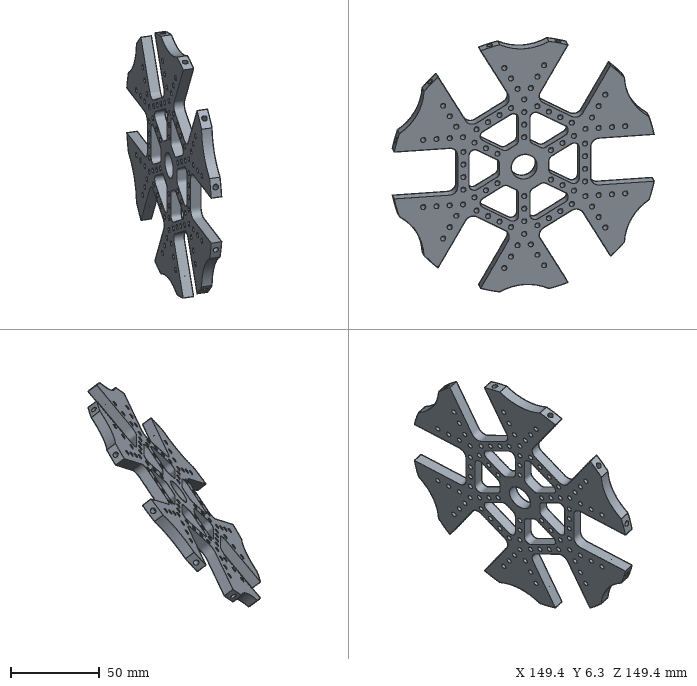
import cadquery as cq
import math

half_span = 74.7
thickness = 6.3
arms = 6
centre_bore_diameter = 14.8

slot_width = 28.2
slot_corner_radius = 4.8

hub_apothem = 14.2
strut_width = 6.6
ring_apothem = 35.0
pocket_corner_radius = 3.1

scallop_depth = 3.5

hole_diameter = 2.8
hole_pitch = 7.6
ring_corner = 40.7
spoke_hole_count = 4
arm_hole_count = 3
ring_hole_count = 4
edge_hole_diameter = 3.1
edge_hole_depth = 12.0
edge_hole_turn = 0.3

arm_step = 360 / arms
tip_angle = arm_step / 4
rim_radius = math.hypot(half_span, slot_width / 2)
slot_floor = ring_apothem + strut_width / 2
pocket_outer = ring_apothem - strut_width / 2


def turned(shape, angle):
    """Turn a shape counter-clockwise in the XZ plane, as seen from -Y."""
    return shape.rotate((0, 0, 0), (0, -1, 0), angle)


def around(shape, start=0):
    """Copies of a shape at every arm step, beginning at the start angle."""
    copies = cq.Workplane("XZ")
    for index in range(arms):
        copies = copies.add(turned(shape, start + index * arm_step))
    return copies.combine()


def slab(sketch):
    """Full plate thickness of a sketch, centred on the XZ plane."""
    return sketch.extrude(thickness / 2, both=True)


def slot():
    """Slot along +X, open at the rim and rounded at its two inner corners."""
    length = half_span
    block = slab(cq.Workplane("XZ").center(slot_floor + length / 2, 0).rect(length, slot_width))
    return block.edges("|Y and <X").fillet(slot_corner_radius)


def pocket():
    """Window facing +X between two spokes, the hub and one ring bar."""
    half_angle = math.radians(arm_step / 2)

    def half_height(x):
        return x * math.tan(half_angle) - strut_width / 2 / math.cos(half_angle)

    inner = half_height(hub_apothem)
    outer = half_height(pocket_outer)
    corners = [
        (hub_apothem, -inner),
        (pocket_outer, -outer),
        (pocket_outer, outer),
        (hub_apothem, inner),
    ]
    window = slab(cq.Workplane("XZ").polyline(corners).close())
    return window.edges("|Y").fillet(pocket_corner_radius)


def scallop():
    """Round bite in the end of the arm that points along +Z."""
    half_chord = slot_width / 2
    radius = (half_chord**2 + scallop_depth**2) / (2 * scallop_depth)
    centre = half_span - scallop_depth + radius
    return slab(cq.Workplane("XZ").center(0, centre).circle(radius))


def arm_hole_points():
    """Holes of the +Z arm: up the spoke, then along two branches."""
    first = ring_corner - (spoke_hole_count - 1) * hole_pitch
    points = [(0, first + index * hole_pitch) for index in range(spoke_hole_count)]
    branch_angle = math.radians(arm_step)
    for index in range(1, arm_hole_count + 1):
        along = index * hole_pitch
        x = along * math.cos(branch_angle)
        z = ring_corner + along * math.sin(branch_angle)
        points += [(x, z), (-x, z)]
    return points


def ring_hole_points():
    """Holes along the ring bar that crosses +X."""
    middle = (ring_hole_count - 1) / 2
    return [(ring_apothem, (index - middle) * hole_pitch) for index in range(ring_hole_count)]


def face_holes(points):
    """Through holes across the plate thickness."""
    return slab(cq.Workplane("XZ").pushPoints(points).circle(hole_diameter / 2))


def edge_hole():
    """Blind hole drilled inward along X from the rim."""
    start = rim_radius - edge_hole_depth
    return cq.Workplane("YZ", origin=(start, 0, 0)).circle(edge_hole_diameter / 2).extrude(half_span)


result = slab(cq.Workplane("XZ").circle(rim_radius))
result = result.cut(slab(cq.Workplane("XZ").circle(centre_bore_diameter / 2)))
result = result.cut(around(slot()))
result = result.cut(around(pocket()))
result = result.cut(around(scallop()))
result = result.cut(around(face_holes(arm_hole_points())))
result = result.cut(around(face_holes(ring_hole_points())))
for side in (-tip_angle, tip_angle):
    result = result.cut(around(edge_hole(), side + edge_hole_turn))